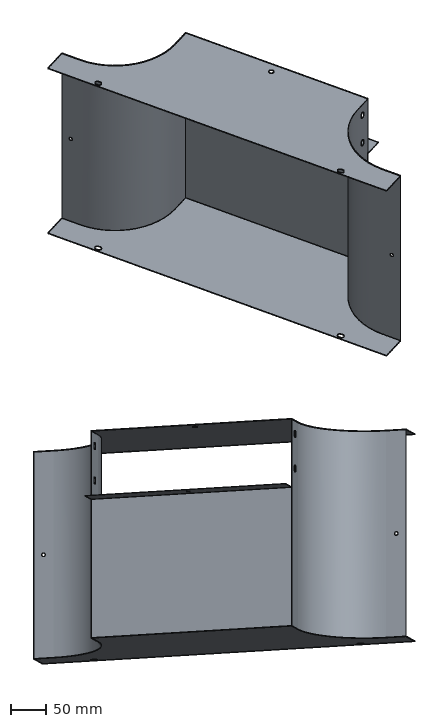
import cadquery as cq

length = 558.0
depth = 198.0
height = 301.0
sheet = 0.5
plate = 1.0
neck_width = 301.0
bend_radius = 99.0
wing_depth = 40.0
tab_depth = 29.0
back_height = 201.5

neck_hole_offset = 15.5
small_hole = 5.0
large_hole = 7.0
slot_length = 10.0
slot_width = 7.0
edge_offset = 14.5
front_slot_spacing = 399.5
front_slot_offset = 6.5
wall_slot_drops = (19.5, 70.0)

half_length = length / 2
half_neck = neck_width / 2
neck_back = depth - tab_depth
bend_x = half_neck + bend_radius
bend_y = wing_depth + bend_radius
mid_height = height / 2


def tee_plate(bottom):
    """Flat T-shaped plate with a concave quarter circle at each side."""
    diagonal = bend_radius * 0.5 ** 0.5
    return (
        cq.Workplane("XY", origin=(0, 0, bottom))
        .moveTo(-half_length, 0)
        .lineTo(half_length, 0)
        .lineTo(half_length, wing_depth)
        .lineTo(bend_x, wing_depth)
        .threePointArc((bend_x - diagonal, bend_y - diagonal), (half_neck, bend_y))
        .lineTo(half_neck, neck_back)
        .lineTo(-half_neck, neck_back)
        .lineTo(-half_neck, bend_y)
        .threePointArc((diagonal - bend_x, bend_y - diagonal), (-bend_x, wing_depth))
        .lineTo(-half_length, wing_depth)
        .close()
        .extrude(plate)
    )


def side_wall():
    """Right wall: end flange, quarter-round bend and straight neck flange."""
    inner_radius = bend_radius + sheet
    outer_diagonal = bend_radius * 0.5 ** 0.5
    inner_diagonal = inner_radius * 0.5 ** 0.5
    return (
        cq.Workplane("XY")
        .moveTo(half_length, wing_depth)
        .lineTo(bend_x, wing_depth)
        .threePointArc((bend_x - outer_diagonal, bend_y - outer_diagonal), (half_neck, bend_y))
        .lineTo(half_neck, neck_back)
        .lineTo(half_neck - sheet, neck_back)
        .lineTo(half_neck - sheet, bend_y)
        .threePointArc((bend_x - inner_diagonal, bend_y - inner_diagonal),
                       (bend_x, wing_depth - sheet))
        .lineTo(half_length, wing_depth - sheet)
        .close()
        .extrude(height)
    )


def box(width, front, back, bottom, top):
    """Box centred on X between the given Y and Z limits."""
    return (
        cq.Workplane("XY")
        .box(width, back - front, top - bottom, centered=(True, False, False))
        .translate((0, front, bottom))
    )


wall = side_wall()
back_panel = box(neck_width, neck_back - sheet, neck_back, 0, back_height)
tab = box(neck_width, neck_back - sheet, depth, back_height - sheet, back_height)
result = (
    tee_plate(0)
    .union(tee_plate(height - plate))
    .union(wall)
    .union(wall.mirror("YZ"))
    .union(back_panel)
    .union(tab)
)

front_slots = (
    cq.Workplane("XY")
    .pushPoints([(side * front_slot_spacing / 2, front_slot_offset) for side in (-1, 1)])
    .slot2D(slot_length, slot_width)
    .extrude(height)
)

wall_slots = (
    cq.Workplane("YZ")
    .pushPoints([(neck_back - neck_hole_offset, height - drop) for drop in wall_slot_drops])
    .slot2D(slot_length, slot_width, 90)
    .extrude(half_neck, both=True)
)

flange_holes = (
    cq.Workplane("XZ")
    .pushPoints([(side * (half_length - edge_offset), mid_height) for side in (-1, 1)])
    .circle(small_hole / 2)
    .extrude(-wing_depth)
)

tab_hole = (
    cq.Workplane("XY")
    .center(0, depth - edge_offset)
    .circle(small_hole / 2)
    .extrude(height)
)

top_hole = (
    cq.Workplane("XY", origin=(0, 0, mid_height))
    .center(0, neck_back - neck_hole_offset)
    .circle(large_hole / 2)
    .extrude(mid_height)
)

for cutter in (front_slots, wall_slots, flange_holes, tab_hole, top_hole):
    result = result.cut(cutter)